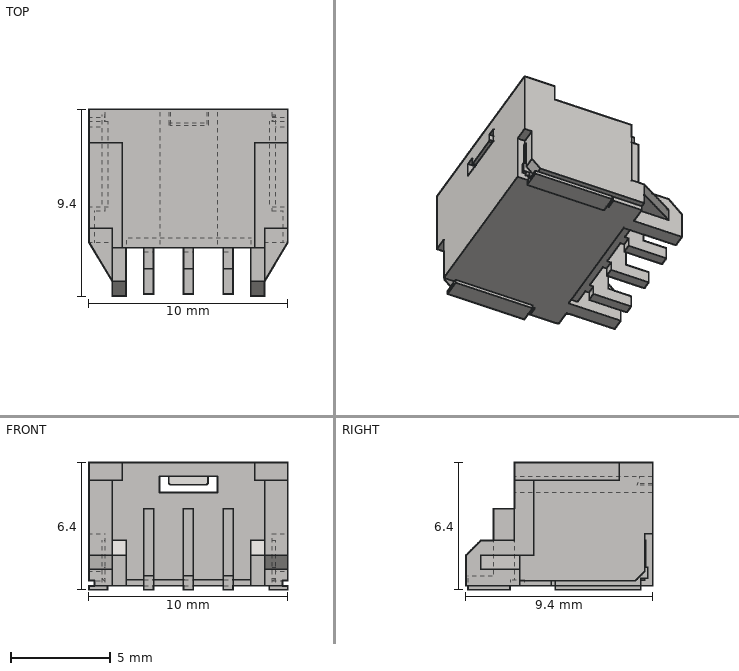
import cadquery as cq


width = 10.0
half_width = width / 2
height = 6.4
housing_depth = 6.97
standoff = 0.2

flank_depth = 6.7
column_back = 6.0
column_half_width = 3.83
shoulder_start = 1.7
shoulder_drop = 0.9
shoulder_width = 1.67

skirt_thickness = 0.27
skirt_bottom = 0.46

nail_strip_end = 5.11
nail_strip_top = 2.81
nail_strip_back = 0.41
nail_strip_chamfer = 0.47
nail_strip_half_width = 4.2

nail_inner = 4.06
nail_outer = 4.36
nail_start = 0.6
nail_end = 4.91
nail_top = 2.5
nail_back_upper = 0.35
nail_back_lower = 0.27
nail_hook_top = 1.14
nail_hook_bottom = 0.59
nail_bevel_start = 0.42
nail_bevel_size = 0.12

relief_top = 0.5
relief_depth = 0.5

arm_end = 9.4
arm_width = 0.7
arm_inner = column_half_width - arm_width
arm_top = 2.48
arm_chamfer = 0.75
gusset_top = arm_top - arm_chamfer
gusset_bottom = 1.04
gusset_end = 8.66

pin_count = 3
pin_pitch = 2.0
pin_width = 0.5
pin_top = 4.08
pin_front = 8.02
pin_back = 7.18
pin_foot_end = 9.3
pin_foot_height = 0.7

window_width = 2.9
window_bottom = 4.9
window_top = 5.7
lip_width = 1.98
lip_bottom = 5.28
lip_chamfer = 0.07
lip_length = 0.8
lip_undercut = 0.12

SIDES = (-1, 1)


def box(x_range, depth_range, z_range):
    """Block between two x values, two depths behind the mating face and two heights."""
    x0, x1 = sorted(x_range)
    d0, d1 = depth_range
    z0, z1 = z_range
    return cq.Workplane("XY").box(x1 - x0, d1 - d0, z1 - z0, centered=False).translate((x0, -d1, z0))


def side_plate(profile, x_range):
    """Prism along X from a (depth, z) outline."""
    x0, x1 = sorted(x_range)
    points = [(-depth, z) for depth, z in profile]
    return cq.Workplane("YZ").polyline(points).close().extrude(x1 - x0).translate((x0, 0, 0))


def make_housing():
    body = box((-half_width, half_width), (0, housing_depth), (standoff, height))
    shoulder_z = height - shoulder_drop
    for side in SIDES:
        outer = side * half_width
        shoulder_x = (side * (half_width - shoulder_width), outer)
        body = body.cut(box(shoulder_x, (shoulder_start, housing_depth), (shoulder_z, height)))
        column_x = (side * column_half_width, outer)
        body = body.cut(box(column_x, (column_back, housing_depth), (gusset_top, shoulder_z)))
        body = body.cut(box(column_x, (flank_depth, housing_depth), (standoff, gusset_top)))
        skirt_x = (side * (half_width - skirt_thickness), outer)
        body = body.cut(box(skirt_x, (0, flank_depth), (standoff, skirt_bottom)))
        body = body.cut(make_nail_strip(side))
    relief_span = (housing_depth - relief_depth, housing_depth)
    relief = box((-arm_inner, arm_inner), relief_span, (standoff, relief_top))
    return body.cut(relief)


def make_nail_strip(side):
    """L-shaped clearance along the rear and lower edges of a flank."""
    profile = [
        (0, standoff),
        (nail_strip_end, standoff),
        (nail_strip_end, skirt_bottom),
        (nail_strip_back + nail_strip_chamfer, skirt_bottom),
        (nail_strip_back, skirt_bottom + nail_strip_chamfer),
        (nail_strip_back, nail_strip_top),
        (0, nail_strip_top),
    ]
    return side_plate(profile, (side * nail_strip_half_width, side * half_width))


def make_nail(side):
    """Upright hooked plate with a beveled heel and a solder pad turned outward at its foot."""
    profile = [
        (nail_start, 0),
        (nail_end, 0),
        (nail_end, nail_top),
        (nail_back_upper, nail_top),
        (nail_back_upper, nail_hook_top),
        (nail_back_lower, nail_hook_top),
        (nail_back_lower, nail_hook_bottom),
        (nail_start, nail_hook_bottom),
    ]
    plate = side_plate(profile, (side * nail_inner, side * nail_outer))
    pad = box((side * nail_inner, side * half_width), (nail_start, nail_end), (0, standoff))
    bevel = (
        cq.Workplane("XZ")
        .workplane(offset=nail_bevel_start)
        .moveTo(side * nail_outer, nail_hook_bottom)
        .lineTo(side * (nail_outer - nail_bevel_size), nail_hook_bottom - nail_bevel_size)
        .lineTo(side * nail_inner, nail_hook_bottom - nail_bevel_size)
        .lineTo(side * nail_inner, nail_hook_bottom)
        .close()
        .extrude(nail_start - nail_bevel_start)
    )
    return plate.union(pad).union(bevel)


def make_arm(side):
    """Forward arm with a beveled nose and a triangular gusset on its outer face."""
    profile = [
        (flank_depth, standoff),
        (arm_end, standoff),
        (arm_end, arm_top - arm_chamfer),
        (arm_end - arm_chamfer, arm_top),
        (flank_depth, arm_top),
    ]
    arm = side_plate(profile, (side * arm_inner, side * column_half_width))
    gusset = (
        cq.Workplane("XY")
        .workplane(offset=gusset_bottom)
        .moveTo(side * column_half_width, -column_back)
        .lineTo(side * half_width, -column_back)
        .lineTo(side * half_width, -flank_depth)
        .lineTo(side * column_half_width, -gusset_end)
        .close()
        .extrude(gusset_top - gusset_bottom)
    )
    return arm.union(gusset)


def make_pin(x_center):
    profile = [
        (housing_depth, relief_top),
        (pin_back, relief_top),
        (pin_back, 0),
        (pin_foot_end, 0),
        (pin_foot_end, pin_foot_height),
        (pin_front, pin_foot_height),
        (pin_front, pin_top),
        (housing_depth, pin_top),
    ]
    return side_plate(profile, (x_center - pin_width / 2, x_center + pin_width / 2))


def cut_latch_window(body):
    """Slot through the housing with an undercut latch lip hanging from its roof."""
    slot = box((-window_width / 2, window_width / 2), (0, housing_depth), (window_bottom, window_top))
    lip_profile = [
        (0, window_top),
        (lip_length - lip_undercut, window_top),
        (lip_length, lip_bottom),
        (0, lip_bottom),
    ]
    lip = side_plate(lip_profile, (-lip_width / 2, lip_width / 2))
    lip = lip.edges("|Y and <Z").chamfer(lip_chamfer)
    return body.cut(slot.cut(lip))


result = cut_latch_window(make_housing())
for side in SIDES:
    result = result.union(make_nail(side)).union(make_arm(side))
for index in range(pin_count):
    result = result.union(make_pin((index - (pin_count - 1) / 2) * pin_pitch))